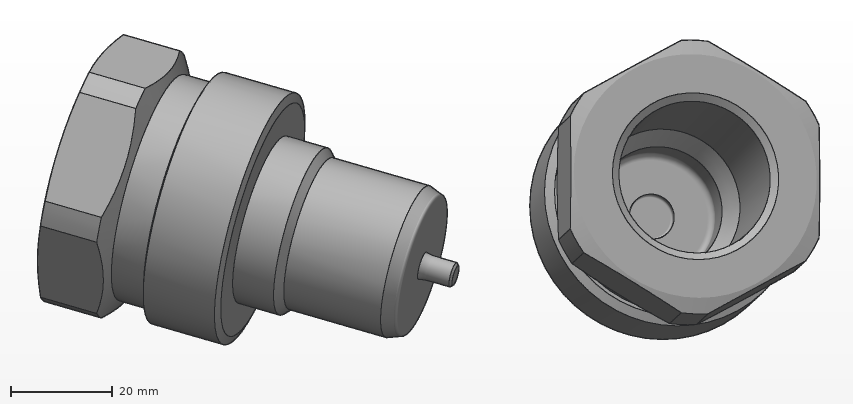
import cadquery as cq
import math

hex_cone_end = 15.1
collar_start = 22.1
collar_end = 38.4
shoulder_end = 48.55
spigot_taper_start = 68.9
spigot_end = 72.0
total_length = 78.95

across_flats = 50.15
hex_corner_diameter = 55.0
hex_corner_radius = hex_corner_diameter / 2
hex_face_radius = 24.5
front_chamfer_angle = 15.0
back_chamfer_angle = 30.0

neck_radius = 23.3
collar_radius = 25.9
collar_chamfer_length = 0.6
collar_chamfer_height = 1.9
shoulder_radius = 17.2
spigot_radius = 15.6
spigot_tip_radius = 14.7
spigot_edge_radius = 0.59

pin_radius = 2.5
pin_root_flare = 0.3
pin_root_length = 1.7
pin_tip_chamfer = 0.5

bore_radius = 15.2
bore_mouth_depth = 0.95
bore_mouth_radius = 16.75
bore_cone_start = 31.6
bore_cone_half_angle = 30.0
inner_bore_radius = 12.55
inner_bore_floor = 44.2
inner_floor_fillet = 1.3
recess_radius = 4.5
recess_depth = 1.6
recess_floor_fillet = 0.4


def rise(run, angle):
    """Side opposite to an angle in degrees, for the given adjacent side."""
    return run * math.tan(math.radians(angle))


def revolve_about_x(profile):
    return profile.close().revolve(360, (0, 0, 0), (1, 0, 0))


def hex_nut():
    """Hexagon with flats facing Y, trimmed by a cylinder and two cones."""
    front_chamfer = rise(hex_corner_radius - hex_face_radius, front_chamfer_angle)
    back_chamfer = rise(hex_corner_radius - neck_radius, back_chamfer_angle)
    across_corners = across_flats / math.cos(math.radians(30))
    prism = (
        cq.Workplane("YZ")
        .polygon(6, across_corners)
        .extrude(hex_cone_end)
        .rotate((0, 0, 0), (1, 0, 0), 30)
    )
    envelope = revolve_about_x(
        cq.Workplane("XY")
        .moveTo(0, 0)
        .lineTo(0, hex_face_radius)
        .lineTo(front_chamfer, hex_corner_radius)
        .lineTo(hex_cone_end - back_chamfer, hex_corner_radius)
        .lineTo(hex_cone_end, neck_radius)
        .lineTo(hex_cone_end, 0)
    )
    return prism.intersect(envelope)


def turned_body():
    """Neck, collar, shoulder and spigot, with the pin blended into the end face."""
    shoulder_chamfer = shoulder_radius - spigot_radius
    pin_root_radius = (pin_root_length**2 + pin_root_flare**2) / (2 * pin_root_flare)
    return revolve_about_x(
        cq.Workplane("XY")
        .moveTo(0, 0)
        .lineTo(0, neck_radius)
        .lineTo(collar_start, neck_radius)
        .lineTo(collar_start, collar_radius - collar_chamfer_height)
        .lineTo(collar_start + collar_chamfer_length, collar_radius)
        .lineTo(collar_end - collar_chamfer_length, collar_radius)
        .lineTo(collar_end, collar_radius - collar_chamfer_height)
        .lineTo(collar_end, shoulder_radius)
        .lineTo(shoulder_end - shoulder_chamfer, shoulder_radius)
        .lineTo(shoulder_end, spigot_radius)
        .lineTo(spigot_taper_start, spigot_radius)
        .lineTo(spigot_end - spigot_edge_radius, spigot_tip_radius)
        .radiusArc((spigot_end, spigot_tip_radius - spigot_edge_radius), spigot_edge_radius)
        .lineTo(spigot_end, pin_radius + pin_root_flare)
        .radiusArc((spigot_end + pin_root_length, pin_radius), -pin_root_radius)
        .lineTo(total_length - pin_tip_chamfer, pin_radius)
        .lineTo(total_length, pin_radius - pin_tip_chamfer)
        .lineTo(total_length, 0)
    )


def stepped_bore():
    """Solid filling the bore, its conical step and the recess in its floor."""
    cone_length = (bore_radius - inner_bore_radius) / rise(1, bore_cone_half_angle)
    recess_floor = inner_bore_floor + recess_depth
    return revolve_about_x(
        cq.Workplane("XY")
        .moveTo(0, 0)
        .lineTo(0, bore_mouth_radius)
        .lineTo(bore_mouth_depth, bore_radius)
        .lineTo(bore_cone_start, bore_radius)
        .lineTo(bore_cone_start + cone_length, inner_bore_radius)
        .lineTo(inner_bore_floor - inner_floor_fillet, inner_bore_radius)
        .radiusArc((inner_bore_floor, inner_bore_radius - inner_floor_fillet), inner_floor_fillet)
        .lineTo(inner_bore_floor, recess_radius)
        .lineTo(recess_floor - recess_floor_fillet, recess_radius)
        .radiusArc((recess_floor, recess_radius - recess_floor_fillet), recess_floor_fillet)
        .lineTo(recess_floor, 0)
    )


result = turned_body().union(hex_nut()).cut(stepped_bore())